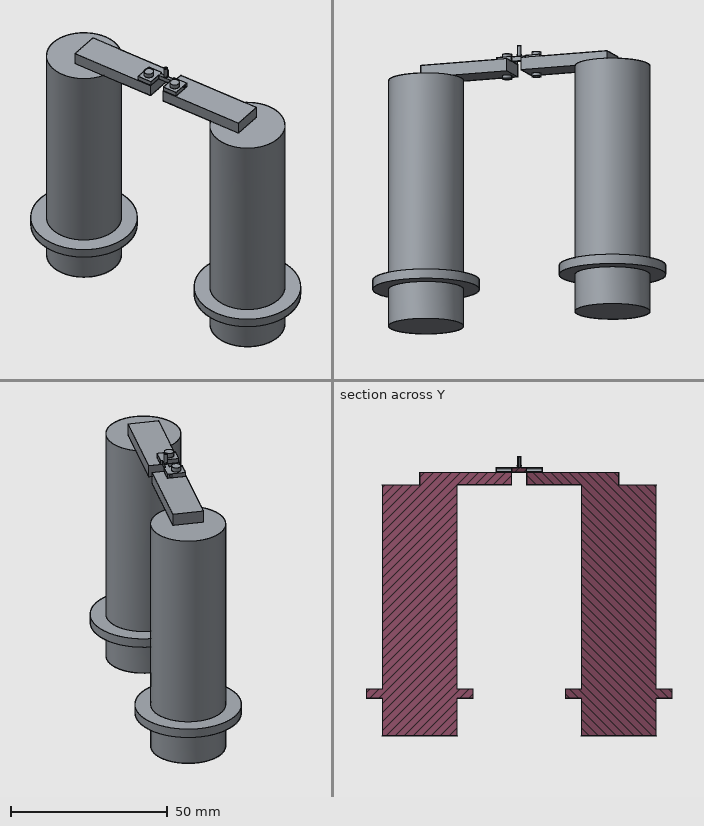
import cadquery as cq

column_spacing = 63.5
column_diameter = 24.0
column_height = 80.0
flange_diameter = 34.0
flange_bottom = 12.0
flange_thickness = 3.0

arm_gap = 4.8
arm_width = 10.0
arm_thickness = 4.0
arm_top = column_height + arm_thickness

pad_length = 5.0
pad_front = -4.8
pad_back = 1.2
holder_thickness = 1.5
holder_top = arm_top + holder_thickness
strip_width = 1.2
pad_bore_diameter = 0.8

stud_diameter = 3.0
stud_spacing = 10.0
stud_y = -2.2
stud_rise = 1.5
stud_drop = 1.0
stud_bottom = column_height - stud_drop
stud_height = holder_top + stud_rise - stud_bottom

needle_diameter = 1.2
needle_bore_diameter = 0.4
total_height = 89.0
wire_diameter = 0.2
wire_length = 1.6
wire_height = holder_top + 0.6


def block(x_min, x_max, y_min, y_max, z_min, z_max):
    """Rectangular block between the given limits."""
    size = (x_max - x_min, y_max - y_min, z_max - z_min)
    return cq.Workplane("XY").box(*size, centered=False).translate((x_min, y_min, z_min))


def upright(diameter, x, y, z_min, height):
    """Vertical cylinder standing at (x, y)."""
    return cq.Workplane("XY", origin=(x, y, z_min)).circle(diameter / 2).extrude(height)


def rod_along_x(diameter, x, length, z):
    """Cylinder along X at y = 0, centred on x."""
    return cq.Workplane("YZ", origin=(x, 0, z)).circle(diameter / 2).extrude(length / 2, both=True)


def make_electrode(side):
    """Flanged column with its arm; side is -1 for left and 1 for right."""
    column_x = side * column_spacing / 2
    arm_ends = sorted((column_x, side * arm_gap / 2))
    column = upright(column_diameter, column_x, 0, 0, column_height)
    flange = upright(flange_diameter, column_x, 0, flange_bottom, flange_thickness)
    arm = block(*arm_ends, -arm_width / 2, arm_width / 2, column_height, arm_top)
    stud_hole = upright(stud_diameter, side * stud_spacing / 2, stud_y, column_height, arm_thickness)
    return column.union(flange).union(arm).cut(stud_hole)


def make_holder():
    """Two pads with studs, joined by a strip that carries the needle; each pad is bored along X."""
    pad_inner = arm_gap / 2
    pad_outer = pad_inner + pad_length
    holder = block(-pad_inner, pad_inner, -strip_width / 2, strip_width / 2, arm_top, holder_top)
    for side in (-1, 1):
        pad_ends = sorted((side * pad_inner, side * pad_outer))
        pad = block(*pad_ends, pad_front, pad_back, arm_top, holder_top)
        stud = upright(stud_diameter, side * stud_spacing / 2, stud_y, stud_bottom, stud_height)
        pad_middle = side * (pad_inner + pad_length / 2)
        bore = rod_along_x(pad_bore_diameter, pad_middle, pad_length, arm_top + holder_thickness / 2)
        holder = holder.union(pad.cut(bore)).union(stud)
    needle_height = total_height - holder_top
    needle = upright(needle_diameter, 0, 0, holder_top, needle_height)
    wire = rod_along_x(wire_diameter, 0, wire_length, wire_height)
    needle_bore = upright(needle_bore_diameter, 0, 0, holder_top, needle_height)
    return holder.union(needle).union(wire).cut(needle_bore)


electrodes = [make_electrode(side) for side in (-1, 1)]
holder = make_holder()

result = cq.Compound.makeCompound([*[electrode.val() for electrode in electrodes], holder.val()])